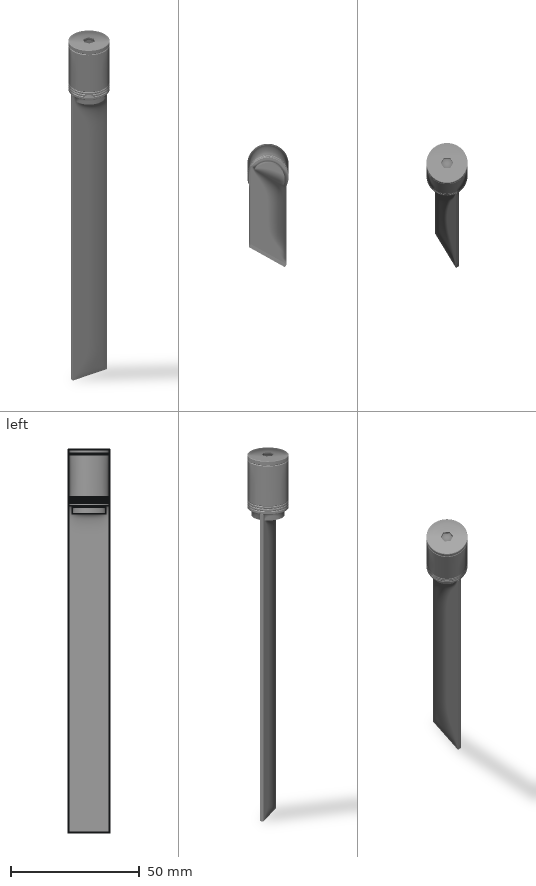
import cadquery as cq

knob_diameter = 16.0
knob_height = 22.0
knob_radius = knob_diameter / 2
knob_chamfer = 0.15
neck_diameter = 12.8
neck_height = 0.5

groove_width = 0.5
groove_depth = groove_width / 2
groove_pitch = 2 * groove_width
top_groove_offset = 1.6
grip_groove_offset = 18.5
grip_groove_count = 3

socket_across_corners = 4.75
socket_depth = 1.0

collar_diameter = 13.0
collar_height = 2.5

overall_height = 149.0
blade_thickness = 1.4
blade_width = knob_diameter
blade_length = overall_height - knob_height


def disc_below(top_depth, diameter, height):
    """Disc on the Z axis that hangs down from the given depth below the knob top."""
    return cq.Workplane("XY", origin=(0, 0, -top_depth)).circle(diameter / 2).extrude(-height)


def ring_groove(upper_edge_offset):
    """V-section ring whose upper edge lies at the given distance below the knob top."""
    upper_edge = (knob_radius, -upper_edge_offset)
    root = (knob_radius - groove_depth, -upper_edge_offset - groove_width / 2)
    lower_edge = (knob_radius, -upper_edge_offset - groove_width)
    section = cq.Workplane("XZ").polyline([upper_edge, root, lower_edge]).close()
    return section.revolve(360, (0, 0, 0), (0, 1, 0))


def hex_socket():
    return (
        cq.Workplane("XY")
        .transformed(rotate=(0, 0, 90))
        .polygon(6, socket_across_corners)
        .extrude(-socket_depth)
    )


def make_knob():
    knob = disc_below(0, knob_diameter, knob_height)
    knob = knob.faces("<Z or >Z").edges().chamfer(knob_chamfer)

    groove_offsets = [top_groove_offset]
    groove_offsets += [grip_groove_offset + i * groove_pitch for i in range(grip_groove_count)]
    for offset in groove_offsets:
        knob = knob.cut(ring_groove(offset))

    knob = knob.cut(hex_socket())
    return knob.union(disc_below(knob_height, neck_diameter, neck_height))


def make_collar():
    return disc_below(knob_height + neck_height, collar_diameter, collar_height)


def make_blade():
    blade = (
        cq.Workplane("XY", origin=(0, 0, -knob_height))
        .rect(blade_thickness, blade_width)
        .extrude(-blade_length)
    )
    notch = disc_below(knob_height, collar_diameter, neck_height + collar_height)
    return blade.cut(notch)


knob = make_knob()
collar = make_collar()
blade = make_blade()

result = cq.Compound.makeCompound([knob.val(), collar.val(), blade.val()])